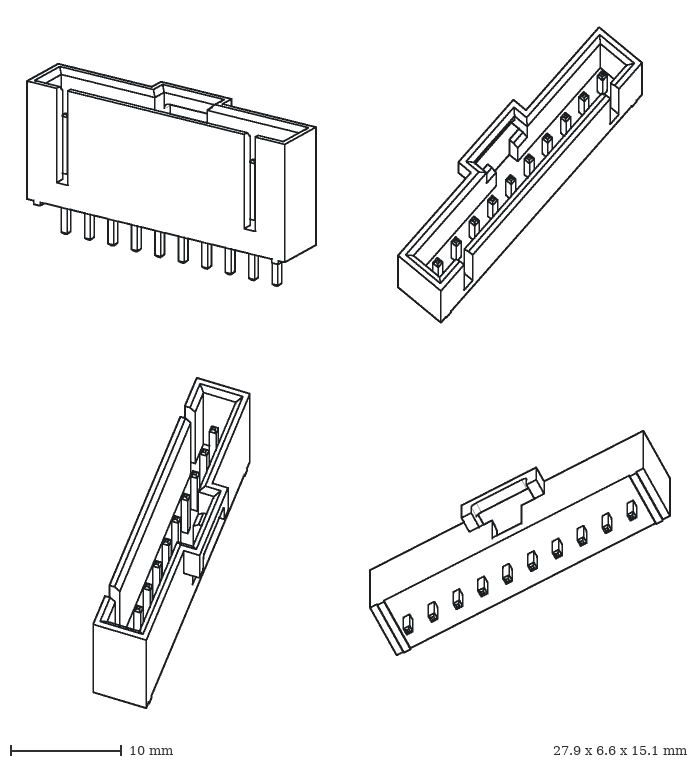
import cadquery as cq

BODY_LENGTH = 27.95
BODY_DEPTH = 5.1
BODY_HEIGHT = 11.45
WALL = 1.0
LEAD_IN = 0.5
FLOOR = 2.3
FRONT_Y = -BODY_DEPTH / 2
BACK_Y = BODY_DEPTH / 2

KEY_LENGTH = 7.65
KEY_DEPTH = 1.5
KEY_HEIGHT = 3.8
KEY_BOTTOM = BODY_HEIGHT - KEY_HEIGHT
KEY_INSIDE = KEY_LENGTH - 2 * WALL
KEY_BRIDGE = 1.55
WINDOW_CORNER = 0.5

NOTCH_WIDTH = 3.0

PIN_COUNT = 10
PITCH = 2.54
PIN_SIZE = 0.64
PIN_TAIL = 3.65
PIN_TOP = 8.0
TIP_CHAMFER = 0.2

SLOT_WIDTH = 1.2
SLOT_X = 4 * PITCH

RIB_WIDTH = 0.7
RIB_HEIGHT = 0.35
RIB_X = 12.9


def block(length, y_min, y_max, z_min, z_max, x_center=0):
    """Box centred on x_center, between the given Y and Z limits."""
    box = cq.Workplane("XY").box(length, y_max - y_min, z_max - z_min, centered=(True, False, False))
    return box.translate((x_center, y_min, z_min))


def flared_block(length, y_min, y_max, z_min, z_max):
    """Cavity with a 45 degree flare at its top end."""
    straight = block(length, y_min, y_max, z_min, z_max)
    flare = (
        cq.Workplane("XY", origin=(0, (y_min + y_max) / 2, z_max))
        .rect(length + 2 * LEAD_IN, y_max - y_min + 2 * LEAD_IN)
        .workplane(offset=-LEAD_IN)
        .rect(length, y_max - y_min)
        .loft(ruled=True)
    )
    return straight.union(flare)


def make_housing():
    body = block(BODY_LENGTH, FRONT_Y, BACK_Y, 0, BODY_HEIGHT)
    key = block(KEY_LENGTH, 0, BACK_Y + KEY_DEPTH, KEY_BOTTOM, BODY_HEIGHT)
    return body.union(key)


def make_main_cavity():
    cavity_length = BODY_LENGTH - 2 * WALL
    return flared_block(cavity_length, FRONT_Y + WALL, BACK_Y - WALL, FLOOR, BODY_HEIGHT)


def make_key_cavity():
    """Space inside the key; it leaves the back wall as a ledge level with the key's lower end."""
    return flared_block(KEY_INSIDE, 0, BACK_Y + KEY_DEPTH - WALL, KEY_BOTTOM, BODY_HEIGHT)


def make_key_window():
    """Window through the key's back wall, open downward, with rounded upper corners."""
    window_top = BODY_HEIGHT - KEY_BRIDGE
    window = block(KEY_INSIDE, BACK_Y, BACK_Y + KEY_DEPTH, KEY_BOTTOM, window_top)
    return window.faces(">Z").edges("|Y").fillet(WINDOW_CORNER)


def make_ledge_bevel():
    """Wedge that bevels the inner edge of the ledge below the key."""
    inner_back = BACK_Y - WALL
    return (
        cq.Workplane("YZ", origin=(-KEY_INSIDE / 2, 0, 0))
        .moveTo(inner_back, KEY_BOTTOM - LEAD_IN)
        .lineTo(inner_back + LEAD_IN, KEY_BOTTOM)
        .lineTo(inner_back, KEY_BOTTOM)
        .close()
        .extrude(KEY_INSIDE)
    )


def make_notch():
    return block(NOTCH_WIDTH, 0, BACK_Y, FLOOR, KEY_BOTTOM)


def make_slots():
    left = block(SLOT_WIDTH, FRONT_Y, 0, FLOOR, BODY_HEIGHT, -SLOT_X)
    return left.union(left.mirror("YZ"))


def make_ribs():
    left = block(RIB_WIDTH, FRONT_Y, BACK_Y, -RIB_HEIGHT, 0, -RIB_X)
    return left.union(left.mirror("YZ"))


def make_pin(x):
    half = PIN_SIZE / 2
    pin = block(PIN_SIZE, -half, half, -PIN_TAIL, PIN_TOP)
    return pin.faces("<Z or >Z").chamfer(TIP_CHAMFER).translate((x, 0, 0))


result = make_housing()
for cutter in (
    make_main_cavity(),
    make_key_cavity(),
    make_key_window(),
    make_ledge_bevel(),
    make_notch(),
    make_slots(),
):
    result = result.cut(cutter)

result = result.union(make_ribs())
for index in range(PIN_COUNT):
    pin_x = (index - (PIN_COUNT - 1) / 2) * PITCH
    result = result.union(make_pin(pin_x))